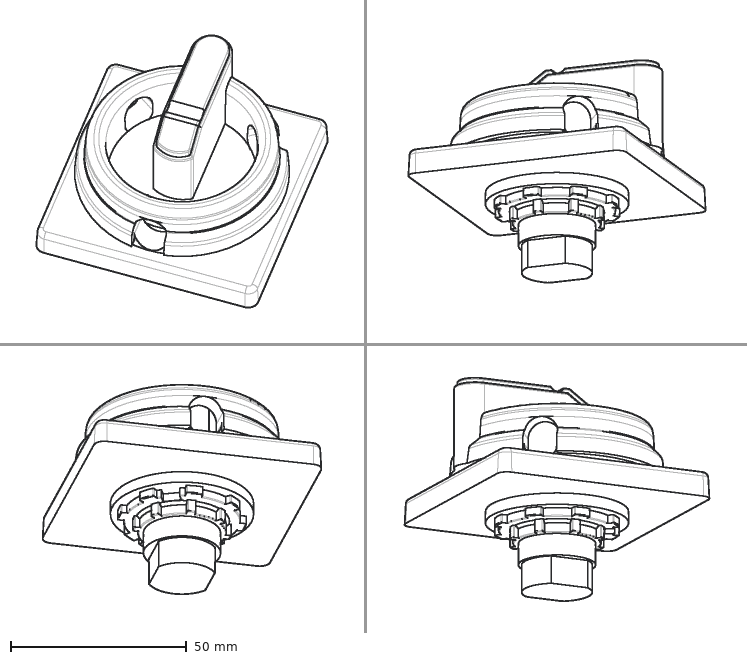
import cadquery as cq
import math

PLATE_TOP = 7.6
NECK_BEND = 7.9
KNOB_BOTTOM = 9.7
SHOULDER_TOP = 17.1
RIM_MIDDLE = 20.7
RIM_LEAN_START = 22.7
RIM_TOP = 25.05
HANDLE_BODY_TOP = 33.7
HANDLE_TOP = 35.2
FLANGE_BOTTOM = -3.3
SEAL_BOTTOM = -5.7
NUT_BOTTOM = -9.4
COLLAR_BOTTOM = -15.7
SHAFT_BOTTOM = -23.8

PLATE_SIDE = 66.6
PLATE_CORNER_RADIUS = 3.05
PLATE_DRAFT = 3.0
PLATE_TOP_FILLET = 1.6

NECK_BOTTOM_RADIUS = 28.4
NECK_TOP_RADIUS = 28.05
SKIRT_BOTTOM_RADIUS = 30.6
SKIRT_TOP_RADIUS = 30.2
SKIRT_FILLET = 1.65
RIM_BOTTOM_RADIUS = 27.8
RIM_MIDDLE_RADIUS = 27.6
RIM_LEAN_RADIUS = 27.45
RIM_TOP_RADIUS = 26.9
RIM_OUTER_FILLET = 2.2
RIM_INNER_FILLET = 2.0
POCKET_TOP_RADIUS = 21.85
POCKET_FLOOR_RADIUS = 21.2
SHOULDER_FILLET = 0.5

SLOT_ANGLES = (-90, 35, 145)
SLOT_WIDTH = 9.7
SLOT_BOTTOM = 8.0
SLOT_TOP = RIM_MIDDLE

HANDLE_WIDTH = 12.0
HANDLE_BACK = 31.85
HANDLE_FRONT = -10.0
HANDLE_FRONT_RADIUS = 11.25
FRONT_CORNER_FILLET = 0.8
CAP_INSET = 0.85
CAP_FILLET = 0.5
BODY_FILLET = 0.5
BEVEL_ANGLE = 34.0
BODY_BEVEL_START = -0.65
CAP_BEVEL_START = -1.6
GROOVE_Y = 2.3
GROOVE_WIDTH = 4.4
GROOVE_DEPTH = 1.3

LABEL_WIDTH = 13.05
LABEL_INNER_RADIUS = 12.85
LABEL_OUTER_RADIUS = 19.5
LABEL_DEPTH = 0.1

FLANGE_RADIUS = 20.4
SEAL_TOOTH_RADIUS = 18.4
SEAL_ROOT_RADIUS = 16.65
SEAL_TOOTH_WIDTH = 4.8
SEAL_NOTCH_ANGLE = -115.5
SEAL_NOTCH_WIDTH = 5.3
SEAL_NOTCH_RADIUS = 13.65
NUT_RIB_RADIUS = 14.05
NUT_ROOT_RADIUS = 12.6
NUT_RIB_WIDTH = 2.5
NUT_CONE_HEIGHT = 0.9
NUT_CONE_RADIUS = 13.5
TOOTH_COUNT = 8
TOOTH_START_ANGLE = -92.5
TOOTH_FILLET = 0.25
COLLAR_RADIUS = 11.0
SHAFT_RADIUS = 10.05
SHAFT_ACROSS_FLATS = 16.5

EXTRA = 0.65


def cylinder(radius, bottom, top):
    """Upright cylinder on the Z axis."""
    return cq.Workplane("XY").workplane(offset=bottom).circle(radius).extrude(top - bottom)


def turned(points):
    """Solid of revolution about Z from (radius, height) points."""
    return cq.Workplane("XZ").polyline(points).close().revolve(360, (0, 0), (0, 1))


def fillet_rim(solid, radius, height, fillet):
    """Round the circular edge found at the given radius and height."""
    reach = radius + 0.05
    corner_low = (-reach, -reach, height - 0.05)
    corner_high = (reach, reach, height + 0.05)
    rim = cq.selectors.BoxSelector(corner_low, corner_high, boundingbox=True)
    edges = [e for e in solid.edges(rim).vals() if abs(e.BoundingBox().xmax - radius) < 0.05]
    return solid.newObject(edges).fillet(fillet)


def make_plate():
    """Square plate with drafted sides, rounded corners and a rounded top edge."""
    return (
        cq.Workplane("XY")
        .sketch()
        .rect(PLATE_SIDE, PLATE_SIDE)
        .vertices()
        .fillet(PLATE_CORNER_RADIUS)
        .finalize()
        .extrude(PLATE_TOP, taper=PLATE_DRAFT)
        .faces(">Z")
        .edges()
        .fillet(PLATE_TOP_FILLET)
    )


def make_neck():
    """Solid neck that carries the knob; its top is the pocket floor."""
    return turned([
        (0, 0),
        (NECK_BOTTOM_RADIUS, 0),
        (NECK_BOTTOM_RADIUS, NECK_BEND),
        (NECK_TOP_RADIUS, KNOB_BOTTOM),
        (0, KNOB_BOTTOM),
    ])


def make_knob_ring():
    """Skirted ring with a 45 degree shoulder, hollow down to the pocket floor."""
    shoulder_bottom = SHOULDER_TOP - (SKIRT_TOP_RADIUS - RIM_BOTTOM_RADIUS)
    ring = turned([
        (POCKET_FLOOR_RADIUS, KNOB_BOTTOM),
        (SKIRT_BOTTOM_RADIUS, KNOB_BOTTOM),
        (SKIRT_TOP_RADIUS, shoulder_bottom),
        (RIM_BOTTOM_RADIUS, SHOULDER_TOP),
        (RIM_MIDDLE_RADIUS, RIM_MIDDLE),
        (RIM_LEAN_RADIUS, RIM_LEAN_START),
        (RIM_TOP_RADIUS, RIM_TOP),
        (POCKET_TOP_RADIUS, RIM_TOP),
    ])
    ring = fillet_rim(ring, SKIRT_TOP_RADIUS, shoulder_bottom, SKIRT_FILLET)
    ring = fillet_rim(ring, RIM_BOTTOM_RADIUS, SHOULDER_TOP, SHOULDER_FILLET)
    ring = fillet_rim(ring, RIM_TOP_RADIUS, RIM_TOP, RIM_OUTER_FILLET)
    return fillet_rim(ring, POCKET_TOP_RADIUS, RIM_TOP, RIM_INNER_FILLET)


def make_slot_cutter():
    """Radial obround hole along +X whose skirt portion is open at the bottom."""
    middle = (SLOT_TOP + SLOT_BOTTOM) / 2
    outer_reach = SKIRT_BOTTOM_RADIUS + EXTRA
    hole = (
        cq.Workplane("YZ")
        .center(0, middle)
        .slot2D(SLOT_TOP - SLOT_BOTTOM, SLOT_WIDTH, 90)
        .extrude(outer_reach)
        .cut(cylinder(POCKET_FLOOR_RADIUS, 0, KNOB_BOTTOM))
    )
    opening = (
        cq.Workplane("XY")
        .box(outer_reach, SLOT_WIDTH, middle - KNOB_BOTTOM, centered=(False, True, False))
        .translate((0, 0, KNOB_BOTTOM))
        .cut(cylinder(NECK_TOP_RADIUS, KNOB_BOTTOM, middle))
    )
    return hole.union(opening)


def handle_prism(inset, top, bevel_start, fillet):
    """Round-backed, bow-fronted prism, bevelled at the front, with a rounded top border."""
    half_width = HANDLE_WIDTH / 2 - inset
    back = HANDLE_BACK - inset
    front = HANDLE_FRONT + inset
    front_radius = HANDLE_FRONT_RADIUS - inset
    bow = front_radius - math.sqrt(front_radius**2 - half_width**2)
    height = top - KNOB_BOTTOM
    prism = (
        cq.Workplane("XY")
        .workplane(offset=KNOB_BOTTOM)
        .moveTo(-half_width, front + bow)
        .threePointArc((0, front), (half_width, front + bow))
        .lineTo(half_width, back - half_width)
        .threePointArc((0, back), (-half_width, back - half_width))
        .close()
        .extrude(height)
        .edges("|Z")
        .edges("<Y")
        .fillet(FRONT_CORNER_FILLET)
    )
    run = bevel_start - HANDLE_FRONT + EXTRA
    drop = run * math.tan(math.radians(BEVEL_ANGLE))
    bevel = (
        cq.Workplane("YZ")
        .polyline([
            (bevel_start, top),
            (bevel_start - run, top - drop),
            (bevel_start - run, top + EXTRA),
            (bevel_start, top + EXTRA),
        ])
        .close()
        .extrude(HANDLE_WIDTH, both=True)
    )
    return prism.cut(bevel).edges("not(|Z or |X or <Z)").fillet(fillet)


def make_handle():
    """Grip with a narrower raised cap and a cylindrical groove across the cap."""
    body = handle_prism(0, HANDLE_BODY_TOP, BODY_BEVEL_START, BODY_FILLET)
    cap = handle_prism(CAP_INSET, HANDLE_TOP, CAP_BEVEL_START, CAP_FILLET)
    groove_radius = (GROOVE_WIDTH**2 / 4 + GROOVE_DEPTH**2) / (2 * GROOVE_DEPTH)
    groove = (
        cq.Workplane("YZ")
        .center(GROOVE_Y, HANDLE_TOP - GROOVE_DEPTH + groove_radius)
        .circle(groove_radius)
        .extrude(HANDLE_WIDTH, both=True)
    )
    return body.union(cap).cut(groove)


def make_label_recess():
    """Shallow panel in the pocket floor, bounded by two arcs about the knob axis."""
    ring = cylinder(LABEL_OUTER_RADIUS, KNOB_BOTTOM - LABEL_DEPTH, KNOB_BOTTOM).cut(
        cylinder(LABEL_INNER_RADIUS, KNOB_BOTTOM - LABEL_DEPTH, KNOB_BOTTOM)
    )
    window = cq.Workplane("XY").box(
        LABEL_WIDTH, LABEL_OUTER_RADIUS, RIM_TOP, centered=(True, False, False)
    )
    return ring.intersect(window.translate((0, -LABEL_OUTER_RADIUS, 0)))


def make_teeth(tip_radius, width, bottom, top):
    """Radial blocks spread evenly round the axis, trimmed to a round tip."""
    blocks = cq.Workplane("XY")
    block = (
        cq.Workplane("XY")
        .box(tip_radius * 2, width, top - bottom, centered=(False, True, False))
        .translate((0, 0, bottom))
        .intersect(cylinder(tip_radius, bottom, top))
    )
    block = block.faces(">X").edges("|Z or <Z").fillet(TOOTH_FILLET)
    for index in range(TOOTH_COUNT):
        angle = TOOTH_START_ANGLE + index * 360 / TOOTH_COUNT
        blocks = blocks.union(block.rotate((0, 0, 0), (0, 0, 1), angle))
    return blocks


def make_seal_ring():
    """Toothed ring with one deeper notch between two teeth."""
    ring = cylinder(SEAL_ROOT_RADIUS, SEAL_BOTTOM, FLANGE_BOTTOM)
    ring = ring.faces("<Z").edges().fillet(TOOTH_FILLET)
    height = FLANGE_BOTTOM - SEAL_BOTTOM
    notch = (
        cq.Workplane("XY")
        .box(SEAL_ROOT_RADIUS, SEAL_NOTCH_WIDTH, height, centered=(False, True, False))
        .translate((SEAL_NOTCH_RADIUS, 0, SEAL_BOTTOM))
        .rotate((0, 0, 0), (0, 0, 1), SEAL_NOTCH_ANGLE)
    )
    teeth = make_teeth(SEAL_TOOTH_RADIUS, SEAL_TOOTH_WIDTH, SEAL_BOTTOM, FLANGE_BOTTOM)
    return ring.cut(notch).union(teeth)


def make_nut():
    """Ribbed nut whose root widens in a cone towards the seal ring."""
    root = turned([
        (0, NUT_BOTTOM),
        (NUT_ROOT_RADIUS, NUT_BOTTOM),
        (NUT_ROOT_RADIUS, SEAL_BOTTOM - NUT_CONE_HEIGHT),
        (NUT_CONE_RADIUS, SEAL_BOTTOM),
        (0, SEAL_BOTTOM),
    ])
    root = root.faces("<Z").edges().fillet(TOOTH_FILLET)
    return root.union(make_teeth(NUT_RIB_RADIUS, NUT_RIB_WIDTH, NUT_BOTTOM, SEAL_BOTTOM))


def make_shaft():
    """Round shaft with two flats facing along X."""
    flats = cq.Workplane("XY").box(SHAFT_ACROSS_FLATS, SHAFT_RADIUS * 2, -SHAFT_BOTTOM * 2)
    return cylinder(SHAFT_RADIUS, SHAFT_BOTTOM, COLLAR_BOTTOM).intersect(flats)


result = make_plate().union(make_neck()).union(make_knob_ring())
for slot_angle in SLOT_ANGLES:
    result = result.cut(make_slot_cutter().rotate((0, 0, 0), (0, 0, 1), slot_angle))
result = result.cut(make_label_recess()).union(make_handle())
result = result.union(cylinder(FLANGE_RADIUS, FLANGE_BOTTOM, 0))
result = result.union(make_seal_ring()).union(make_nut())
result = result.union(cylinder(COLLAR_RADIUS, COLLAR_BOTTOM, NUT_BOTTOM)).union(make_shaft())